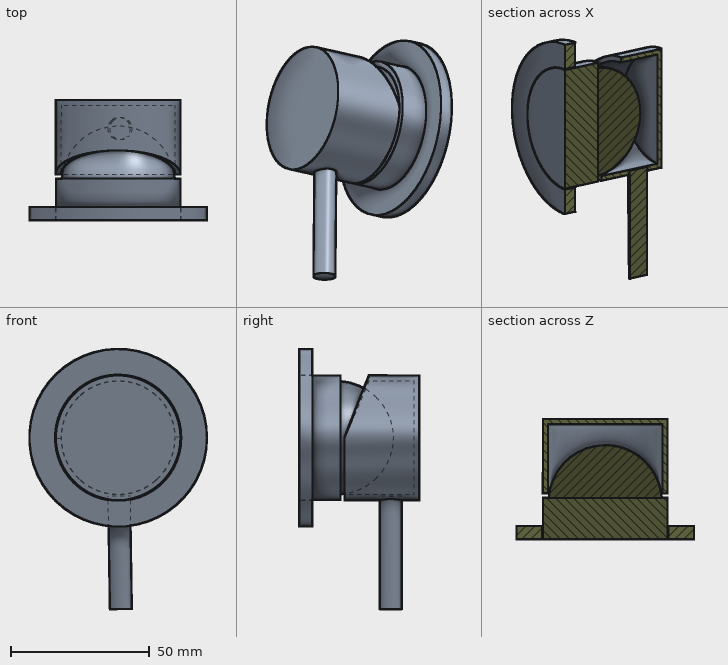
import cadquery as cq
import math


plate_diameter = 64.0
plate_thickness = 4.8
plate_clearance = 0.15

body_diameter = 45.0
body_length = 15.0

ball_radius = 20.45
ball_center_y = 13.5

cap_wall = 2.0
cap_gap = 1.4
cap_end_y = 43.32
cap_lip_top_y = 25.15

lever_diameter = 8.0
lever_center_y = 33.0
lever_end_z = -61.7
lever_socket_depth = 1.5

handle_turn = 0.9

cut_margin = 1.0

body_radius = body_diameter / 2
cap_radius = body_radius
cap_bore_radius = cap_radius - cap_wall
cap_start_y = body_length + cap_gap
cap_floor_y = cap_end_y - cap_wall
lever_start_z = -(cap_radius - lever_socket_depth)


def cylinder_along_y(radius, start_y, end_y):
    """Solid cylinder centred on the Y axis."""
    return cq.Workplane("XZ", origin=(0, start_y, 0)).circle(radius).extrude(start_y - end_y)


def turn_handle(body):
    """Turn about the Y axis so that the lower end of the lever swings toward +X."""
    return body.rotate((0, 0, 0), (0, 1, 0), -handle_turn)


def make_plate():
    """Flat ring that surrounds the valve body with a small clearance."""
    disc = cylinder_along_y(plate_diameter / 2, 0, plate_thickness)
    opening = cylinder_along_y(body_radius + plate_clearance, 0, plate_thickness)
    return disc.cut(opening)


def make_valve_body():
    """Plain cylinder, flush with the outer face of the plate."""
    return cylinder_along_y(body_radius, 0, body_length)


def make_ball():
    """Part of a sphere that sits on the end of the valve body."""
    sphere = cq.Workplane("XZ", origin=(0, ball_center_y, 0)).sphere(ball_radius)
    return sphere.intersect(cylinder_along_y(body_radius, body_length, cap_end_y))


def make_lever():
    """Straight round rod whose inner end sits in a socket in the cap wall."""
    return (
        cq.Workplane("XY", origin=(0, lever_center_y, lever_start_z))
        .circle(lever_diameter / 2)
        .extrude(lever_end_z - lever_start_z)
    )


def upper_arc(radius, hinge_y, rise):
    """Half ellipse on a cylinder about Y: Y grows by `rise` per unit of Z, starting from hinge_y at Z = 0."""
    return cq.Edge.makeEllipse(
        radius * math.hypot(1, rise),
        radius,
        pnt=(0, hinge_y, 0),
        dir=(0, -1, rise),
        xdir=(0, rise, 1),
        angle1=-90,
        angle2=90,
    )


def make_lip_cut():
    """Upper half-ring cutter; its sloping face is swept by lines that run radially out from the Y axis."""
    inner_radius = cap_bore_radius - cut_margin
    outer_radius = cap_radius + cut_margin
    base_y = cap_start_y - cut_margin
    lip_climb = cap_lip_top_y - cap_start_y

    inner_base = upper_arc(inner_radius, base_y, 0)
    outer_base = upper_arc(outer_radius, base_y, 0)
    inner_lip = upper_arc(inner_radius, cap_start_y, lip_climb / inner_radius)
    outer_lip = upper_arc(outer_radius, cap_start_y, lip_climb / outer_radius)
    sides = [
        (inner_base, outer_base),
        (inner_lip, outer_lip),
        (inner_base, inner_lip),
        (outer_base, outer_lip),
    ]
    faces = [cq.Face.makeRuledSurface(first, second) for first, second in sides]

    for side in (-1, 1):
        corners = [
            cq.Vector(side * inner_radius, base_y, 0),
            cq.Vector(side * outer_radius, base_y, 0),
            cq.Vector(side * outer_radius, cap_start_y, 0),
            cq.Vector(side * inner_radius, cap_start_y, 0),
        ]
        faces.append(cq.Face.makeFromWires(cq.Wire.makePolygon(corners, close=True)))

    return cq.Workplane(cq.Solid.makeSolid(cq.Shell.makeShell(faces)))


def make_cap(lever_shape):
    """Cup over the ball, with the upper half of its lip cut back on a slope."""
    shell = cylinder_along_y(cap_radius, cap_start_y, cap_end_y)
    bore = cylinder_along_y(cap_bore_radius, cap_start_y, cap_floor_y)
    return shell.cut(bore).cut(make_lip_cut()).cut(lever_shape)


straight_lever = make_lever()

plate = make_plate()
valve_body = make_valve_body()
ball = make_ball()
cap = turn_handle(make_cap(straight_lever))
lever = turn_handle(straight_lever)

bodies = [plate, valve_body, ball, cap, lever]
result = cq.Compound.makeCompound([body.solids().val() for body in bodies])